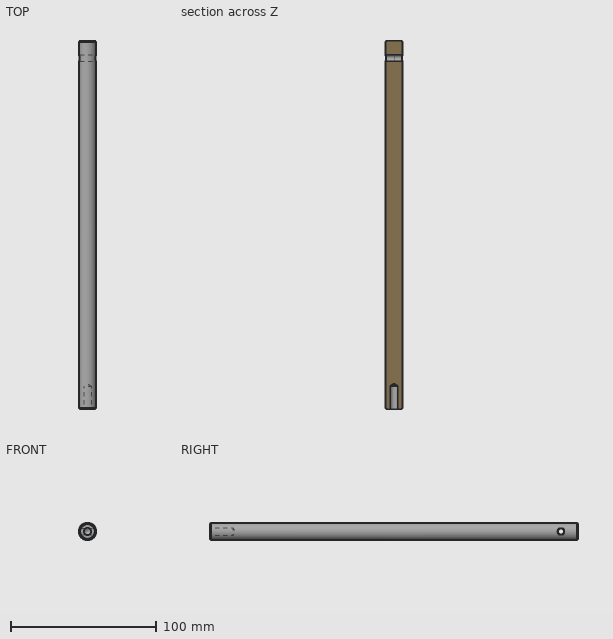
import cadquery as cq
import math

shaft_diameter = 12.0
shaft_length = 254.0
end_chamfer = 1.0

cross_hole_diameter = 4.2
cross_hole_chamfer = 0.3
cross_hole_end_distance = 12.0

axial_hole_diameter = 5.0
axial_hole_depth = 16.0
drill_point_angle = 118.0

shaft_radius = shaft_diameter / 2
front_y = -shaft_length / 2
back_y = shaft_length / 2
cross_hole_y = back_y - cross_hole_end_distance


def make_shaft():
    """Round bar with both ends chamfered, turned about the Y axis."""
    chamfer_radius = shaft_radius - end_chamfer
    half_profile = (
        cq.Workplane("YZ")
        .moveTo(front_y, 0)
        .lineTo(front_y, chamfer_radius)
        .lineTo(front_y + end_chamfer, shaft_radius)
        .lineTo(back_y - end_chamfer, shaft_radius)
        .lineTo(back_y, chamfer_radius)
        .lineTo(back_y, 0)
        .close()
    )
    return half_profile.revolve(360, (0, 0), (1, 0))


def drill_cross_hole(shaft):
    """Drill through the shaft along X and chamfer both mouths of the hole."""
    cutter = (
        cq.Workplane("YZ")
        .center(cross_hole_y, 0)
        .circle(cross_hole_diameter / 2)
        .extrude(shaft_diameter, both=True)
    )
    hole_zone = cq.selectors.BoxSelector(
        (-shaft_diameter, cross_hole_y - cross_hole_diameter, -cross_hole_diameter),
        (shaft_diameter, cross_hole_y + cross_hole_diameter, cross_hole_diameter),
    )
    return shaft.cut(cutter).edges(hole_zone).edges("not %LINE").chamfer(cross_hole_chamfer)


def make_axial_hole():
    """Cutter for the drilled hole: a cylinder ending in a cone."""
    hole_radius = axial_hole_diameter / 2
    point_length = hole_radius / math.tan(math.radians(drill_point_angle / 2))
    shoulder_y = front_y + axial_hole_depth
    half_profile = (
        cq.Workplane("YZ")
        .moveTo(front_y, 0)
        .lineTo(front_y, hole_radius)
        .lineTo(shoulder_y, hole_radius)
        .lineTo(shoulder_y + point_length, 0)
        .close()
    )
    return half_profile.revolve(360, (0, 0), (1, 0))


result = drill_cross_hole(make_shaft()).cut(make_axial_hole())